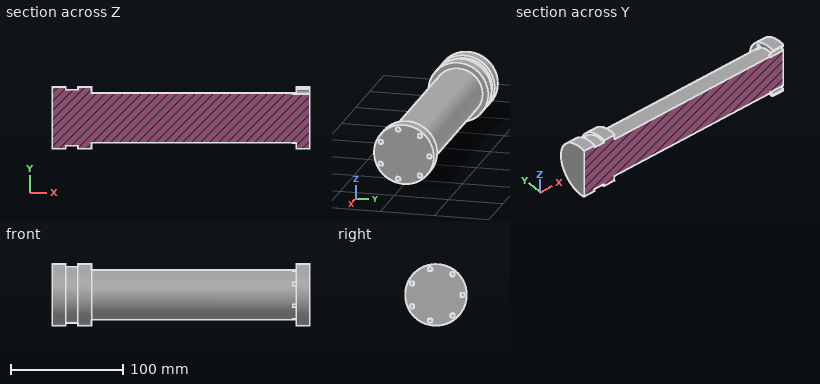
import cadquery as cq

length = 230.0
collar_diameter = 55.2
collar_width = 12.2

groove_diameter = 50.5
groove_width = 10.8

shaft_diameter = 44.8

hole_count = 7
hole_diameter = 4.1
hole_circle_diameter = 47.2
hole_reach = 3.2

left_end = -length / 2
flange_face = length / 2 - collar_width


def cylinder(start, width, diameter):
    """Solid cylinder along X beginning at the given X position."""
    return cq.Workplane("YZ", origin=(start, 0, 0)).circle(diameter / 2).extrude(width)


def make_body():
    """Shaft with an end flange and a pair of collars around a groove."""
    groove_start = left_end + collar_width
    second_collar_start = groove_start + groove_width
    body = cylinder(left_end, length, shaft_diameter)
    body = body.union(cylinder(left_end, collar_width, collar_diameter))
    body = body.union(cylinder(groove_start, groove_width, groove_diameter))
    body = body.union(cylinder(second_collar_start, collar_width, collar_diameter))
    return body.union(cylinder(flange_face, collar_width, collar_diameter))


def make_hole():
    """Cutter on the +Y side, entering from the +X end."""
    bore = cylinder(flange_face - hole_reach, hole_reach + collar_width, hole_diameter)
    return bore.translate((0, hole_circle_diameter / 2, 0))


result = make_body()
hole = make_hole()
for index in range(hole_count):
    angle = index * 360 / hole_count
    result = result.cut(hole.rotate((0, 0, 0), (1, 0, 0), angle))